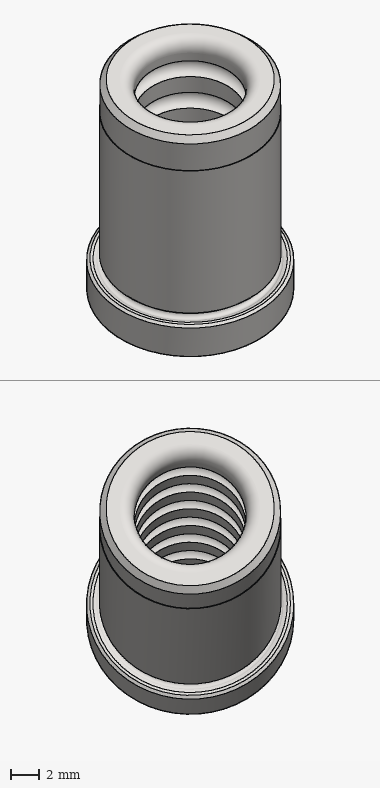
import cadquery as cq

total_height = 20.0

head_radius = 7.4
head_height = 3.0
head_bevel_width = 0.25
head_bevel_height = 0.15

body_radius = 6.5
pilot_radius = 6.45
pilot_height = 3.0
pilot_chamfer = 0.45

neck_radius = 6.08
neck_clearance = 0.08
undercut_chamfer = body_radius - neck_radius
undercut_depth = 0.1
undercut_arc_end_radius = 6.68
undercut_rim_radius = 6.95
arc_mid_radius = 6.25
arc_mid_drop = 0.15

bore_radius = 4.0
bore_mouth_fillet = 1.0
groove_count = 6
groove_pitch = 3.0
groove_width = 1.5
groove_depth = groove_width / 2
first_groove_z = (total_height - (groove_count - 1) * groove_pitch) / 2


def make_bush():
    """Revolve the outer outline, with the plain bore, about the Z axis."""
    pilot_base_z = total_height - pilot_height
    neck_top_z = head_height + neck_clearance
    bevel_inner_radius = head_radius - head_bevel_width
    outline = (
        cq.Workplane("XZ")
        .moveTo(bore_radius, 0)
        .lineTo(bevel_inner_radius, 0)
        .lineTo(head_radius, head_bevel_height)
        .lineTo(head_radius, head_height - head_bevel_height)
        .lineTo(bevel_inner_radius, head_height)
        .lineTo(undercut_rim_radius, head_height)
        .lineTo(undercut_arc_end_radius, head_height - undercut_depth)
        .threePointArc((arc_mid_radius, head_height - arc_mid_drop), (neck_radius, neck_top_z))
        .lineTo(body_radius, neck_top_z + undercut_chamfer)
        .lineTo(body_radius, pilot_base_z)
        .lineTo(pilot_radius, pilot_base_z)
        .lineTo(pilot_radius, total_height - pilot_chamfer)
        .lineTo(pilot_radius - pilot_chamfer, total_height)
        .lineTo(bore_radius, total_height)
        .close()
    )
    return outline.revolve(360, (0, 0, 0), (0, 1, 0))


def round_bore_mouth(bush):
    """Round the top edge of the bore."""
    return bush.faces(">Z").edges(cq.selectors.RadiusNthSelector(0)).fillet(bore_mouth_fillet)


def make_groove(center_z):
    """Ring whose semicircular section bulges outward from the bore wall."""
    half_width = groove_width / 2
    section = (
        cq.Workplane("XZ")
        .moveTo(bore_radius, center_z - half_width)
        .threePointArc((bore_radius + groove_depth, center_z), (bore_radius, center_z + half_width))
        .close()
    )
    return section.revolve(360, (0, 0, 0), (0, 1, 0))


result = round_bore_mouth(make_bush())
for index in range(groove_count):
    result = result.cut(make_groove(first_groove_z + index * groove_pitch))